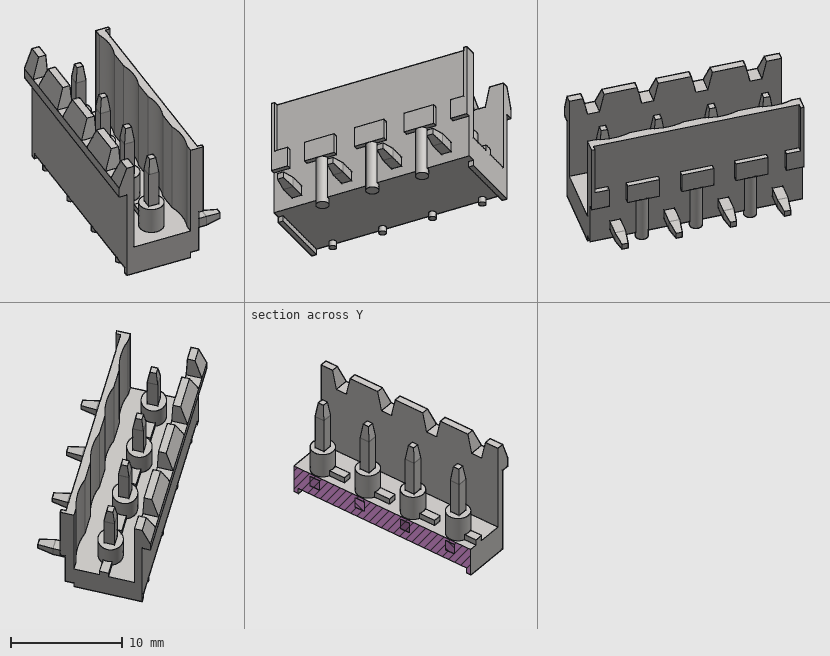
import cadquery as cq
import math


LENGTH = 19.92
HEIGHT = 12.0
PIN_COUNT = 4
PITCH = 5.08
PIN_AXIS_Y = 4.3
pin_xs = [(i - (PIN_COUNT - 1) / 2) * PITCH for i in range(PIN_COUNT)]
gap_xs = [x + PITCH / 2 for x in pin_xs[:-1]]

FRONT_Y = 0.75
CAVITY_FRONT_Y = 1.47
CAVITY_REAR_Y = 7.1
PANEL_REAR_Y = 7.9
REAR_Y = 8.37
FLOOR_Z = 2.97
LIP_BOTTOM_Z = 9.0
LIP_EDGE_Z = 10.0
FOOT_HEIGHT = 0.58
FOOT_WIDTH = 0.5

RAIL_WIDTH = 0.32
RAIL_BOTTOM_Z = 4.82
PAD_HEIGHT = 2.0
MIDDLE_PAD_WIDTH = 3.0
END_PAD_WIDTH = 1.33

SCALLOP_WIDTH = 3.15
SCALLOP_DEPTH = 0.25

NOTCH_TOP_WIDTH = 1.97
NOTCH_BOTTOM_WIDTH = 1.12
NOTCH_SHIFT = 0.05

SOCKET_DIAMETER = 2.3
SOCKET_TOP_Z = 5.52
KEY_LENGTH = 2.75
KEY_WIDTH = 0.84
KEY_TOP_Z = 3.55

FRONT_POST_DIAMETER = 0.7
REAR_POST_DIAMETER = 1.2

PIN_WIDTH = 1.0
PIN_TIP_WIDTH = 0.6
PIN_TOP_Z = 10.6
PIN_TOP_TAPER = 1.53
PIN_REAR_Y = 11.0
PIN_REAR_TAPER = 1.47
PIN_TAIL_Z = 2.1


def box(x0, x1, y0, y1, z0, z1):
    """Box between two opposite corners."""
    return cq.Workplane("XY").box(x1 - x0, y1 - y0, z1 - z0, centered=False).translate((x0, y0, z0))


def post(x, y, diameter, z0, z1):
    """Upright cylinder between two heights."""
    return cq.Workplane("XY", origin=(x, y, z0)).circle(diameter / 2).extrude(z1 - z0)


def shell():
    """U-shaped channel with the latch lip on its front wall and feet at both ends."""
    section = [
        (FRONT_Y, 0),
        (CAVITY_REAR_Y, 0),
        (CAVITY_REAR_Y, FOOT_HEIGHT),
        (PANEL_REAR_Y, FOOT_HEIGHT),
        (PANEL_REAR_Y, RAIL_BOTTOM_Z),
        (REAR_Y, RAIL_BOTTOM_Z),
        (REAR_Y, HEIGHT),
        (CAVITY_REAR_Y, HEIGHT),
        (CAVITY_REAR_Y, FLOOR_Z),
        (CAVITY_FRONT_Y, FLOOR_Z),
        (CAVITY_FRONT_Y, HEIGHT),
        (FRONT_Y, HEIGHT),
        (0, LIP_EDGE_Z),
        (0, LIP_BOTTOM_Z),
        (FRONT_Y, LIP_BOTTOM_Z),
    ]
    body = cq.Workplane("YZ", origin=(-LENGTH / 2, 0, 0)).polyline(section).close().extrude(LENGTH)
    inner_foot_x = LENGTH / 2 - FOOT_WIDTH
    return body.cut(box(-inner_foot_x, inner_foot_x, 0, REAR_Y, 0, FOOT_HEIGHT))


def rear_recess():
    """Shallow recess in the rear face that leaves a rail at each end."""
    inner_rail_x = LENGTH / 2 - RAIL_WIDTH
    return box(-inner_rail_x, inner_rail_x, PANEL_REAR_Y, REAR_Y, RAIL_BOTTOM_Z, HEIGHT)


def rear_pads():
    """Raised pads in the rear recess: one between neighbouring pins and one beside each rail."""
    inner_rail_x = LENGTH / 2 - RAIL_WIDTH
    spans = [(x - MIDDLE_PAD_WIDTH / 2, x + MIDDLE_PAD_WIDTH / 2) for x in gap_xs]
    spans.append((-inner_rail_x, -inner_rail_x + END_PAD_WIDTH))
    spans.append((inner_rail_x - END_PAD_WIDTH, inner_rail_x))
    pad_top_z = RAIL_BOTTOM_Z + PAD_HEIGHT
    return [box(x0, x1, PANEL_REAR_Y, REAR_Y, RAIL_BOTTOM_Z, pad_top_z) for x0, x1 in spans]


def scallop(x):
    """Segment of a circle that hollows the rear cavity wall behind a pin."""
    return (
        cq.Workplane("XY", origin=(x, CAVITY_REAR_Y, FLOOR_Z))
        .moveTo(-SCALLOP_WIDTH / 2, 0)
        .threePointArc((0, SCALLOP_DEPTH), (SCALLOP_WIDTH / 2, 0))
        .close()
        .extrude(HEIGHT - FLOOR_Z)
    )


def latch_notch(x):
    """Notch through the top of the latch wall, widening upwards."""
    outline = [
        (-NOTCH_BOTTOM_WIDTH / 2, LIP_EDGE_Z),
        (NOTCH_BOTTOM_WIDTH / 2, LIP_EDGE_Z),
        (NOTCH_TOP_WIDTH / 2, HEIGHT),
        (-NOTCH_TOP_WIDTH / 2, HEIGHT),
    ]
    plane = cq.Workplane("XZ", origin=(x + NOTCH_SHIFT, 0, 0))
    return plane.polyline(outline).close().extrude(-CAVITY_FRONT_Y)


def coding_key(x):
    """Low bar from the socket towards -X, cut short where the housing ends."""
    start_x = max(x - KEY_LENGTH, -LENGTH / 2)
    return box(start_x, x, PIN_AXIS_Y - KEY_WIDTH / 2, PIN_AXIS_Y + KEY_WIDTH / 2, FLOOR_Z, KEY_TOP_Z)


def tapered_tip(base, length):
    """Square tip that narrows from the pin width along the normal of a workplane."""
    taper_angle = math.degrees(math.atan((PIN_WIDTH - PIN_TIP_WIDTH) / 2 / length))
    return base.rect(PIN_WIDTH, PIN_WIDTH).extrude(length, taper=taper_angle)


def make_pin(x):
    """Square contact pin: an upright leg in the socket and a tail that leaves through the rear."""
    half = PIN_WIDTH / 2
    leg_end_z = PIN_TOP_Z - PIN_TOP_TAPER
    tail_end_y = PIN_REAR_Y - PIN_REAR_TAPER
    tail_bottom_z = PIN_TAIL_Z - half
    leg = box(x - half, x + half, PIN_AXIS_Y - half, PIN_AXIS_Y + half, tail_bottom_z, leg_end_z)
    tail = box(x - half, x + half, PIN_AXIS_Y - half, tail_end_y, tail_bottom_z, PIN_TAIL_Z + half)
    leg_tip = tapered_tip(cq.Workplane("XY", origin=(x, PIN_AXIS_Y, leg_end_z)), PIN_TOP_TAPER)
    rear_plane = cq.Plane(origin=(x, tail_end_y, PIN_TAIL_Z), xDir=(1, 0, 0), normal=(0, 1, 0))
    tail_tip = tapered_tip(cq.Workplane(rear_plane), PIN_REAR_TAPER)
    return leg.union(tail).union(leg_tip).union(tail_tip)


def make_housing(contact_pins):
    """Moulded housing with a matching passage for every contact pin."""
    body = shell().cut(rear_recess())
    for pad in rear_pads():
        body = body.union(pad)
    for x in gap_xs:
        rear_post_y = REAR_Y - REAR_POST_DIAMETER / 2
        body = body.union(post(x, rear_post_y, REAR_POST_DIAMETER, 0, RAIL_BOTTOM_Z))
    for x in pin_xs:
        front_post_y = FRONT_Y + FRONT_POST_DIAMETER / 2
        body = body.union(post(x, front_post_y, FRONT_POST_DIAMETER, 0, FOOT_HEIGHT))
        body = body.union(post(x, PIN_AXIS_Y, SOCKET_DIAMETER, FLOOR_Z, SOCKET_TOP_Z))
        body = body.union(coding_key(x))
        body = body.cut(scallop(x)).cut(latch_notch(x))
    for pin in contact_pins:
        body = body.cut(pin)
    return body


pins = [make_pin(x) for x in pin_xs]
housing = make_housing(pins)

result = cq.Compound.makeCompound([housing.solids().val(), *[pin.solids().val() for pin in pins]])